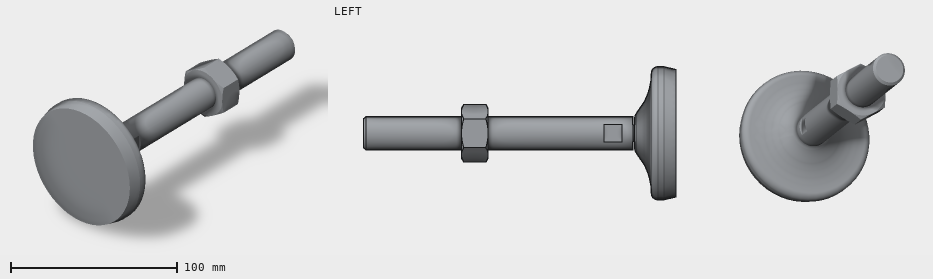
import cadquery as cq
import math

TOTAL_LENGTH = 188.0

FOOT_RADIUS = 40.0
PAD_BOTTOM_RADIUS = 38.25
PAD_HEIGHT = 7.5
RIM_TOP = 11.0
RIM_FILLET = 4.0
FOOT_TOP_RADIUS = 10.8
FOOT_TOP_FILLET = 4.0
FOOT_HEIGHT = 25.0

NECK_RADIUS = 5.0
NECK_LENGTH = 1.0

STUD_RADIUS = 10.0
STUD_CHAMFER = 1.5
STUD_START = FOOT_HEIGHT + NECK_LENGTH
FLATS_WIDTH = 17.0
FLATS_LENGTH = 11.0
FLATS_START = 32.5

NUT_ACROSS_FLATS = 30.0
NUT_HEIGHT = 16.0
NUT_START = 113.0
NUT_FACE_RADIUS = NUT_ACROSS_FLATS / 2
NUT_CORNER_RADIUS = NUT_ACROSS_FLATS / math.sqrt(3)
NUT_BEVEL_ANGLE = 30.0


def revolve_about_y(profile):
    """Turn a closed XY profile once around the Y axis."""
    return profile.close().revolve(360, (0, 0, 0), (0, 1, 0))


def make_foot():
    """Tapered pad, straight rim and a hollow flare up to the neck."""
    profile = (
        cq.Workplane("XY")
        .moveTo(0, 0)
        .lineTo(PAD_BOTTOM_RADIUS, 0)
        .lineTo(FOOT_RADIUS, PAD_HEIGHT)
        .lineTo(FOOT_RADIUS, RIM_TOP)
        .tangentArcPoint((FOOT_RADIUS - RIM_FILLET, RIM_TOP + RIM_FILLET), relative=False)
        .tangentArcPoint((FOOT_TOP_RADIUS, FOOT_HEIGHT), relative=False)
        .lineTo(0, FOOT_HEIGHT)
    )
    foot = revolve_about_y(profile)
    return foot.faces(">Y").edges().fillet(FOOT_TOP_FILLET)


def make_stud():
    """Neck and plain rod with a chamfered free end and two wrench flats."""
    profile = (
        cq.Workplane("XY")
        .moveTo(0, FOOT_HEIGHT)
        .lineTo(NECK_RADIUS, FOOT_HEIGHT)
        .lineTo(NECK_RADIUS, STUD_START)
        .lineTo(STUD_RADIUS, STUD_START)
        .lineTo(STUD_RADIUS, TOTAL_LENGTH - STUD_CHAMFER)
        .lineTo(STUD_RADIUS - STUD_CHAMFER, TOTAL_LENGTH)
        .lineTo(0, TOTAL_LENGTH)
    )
    stud = revolve_about_y(profile)
    for side in (-1, 1):
        cutter = cq.Workplane("XY").box(STUD_RADIUS, FLATS_LENGTH, 2 * STUD_RADIUS)
        offset_x = side * (FLATS_WIDTH + STUD_RADIUS) / 2
        stud = stud.cut(cutter.translate((offset_x, FLATS_START + FLATS_LENGTH / 2, 0)))
    return stud


def make_nut():
    """Hexagon with corners on the Z axis, bevelled at both ends."""
    hexagon = (
        cq.Workplane("XZ", origin=(0, NUT_START, 0))
        .transformed(rotate=(0, 0, 90))
        .polygon(6, 2 * NUT_CORNER_RADIUS)
        .extrude(-NUT_HEIGHT)
    )
    bevel_height = (NUT_CORNER_RADIUS - NUT_FACE_RADIUS) * math.tan(math.radians(NUT_BEVEL_ANGLE))
    nut_end = NUT_START + NUT_HEIGHT
    envelope = (
        cq.Workplane("XY")
        .moveTo(0, NUT_START)
        .lineTo(NUT_FACE_RADIUS, NUT_START)
        .lineTo(NUT_CORNER_RADIUS, NUT_START + bevel_height)
        .lineTo(NUT_CORNER_RADIUS, nut_end - bevel_height)
        .lineTo(NUT_FACE_RADIUS, nut_end)
        .lineTo(0, nut_end)
    )
    return hexagon.intersect(revolve_about_y(envelope))


result = make_foot().union(make_stud()).union(make_nut())